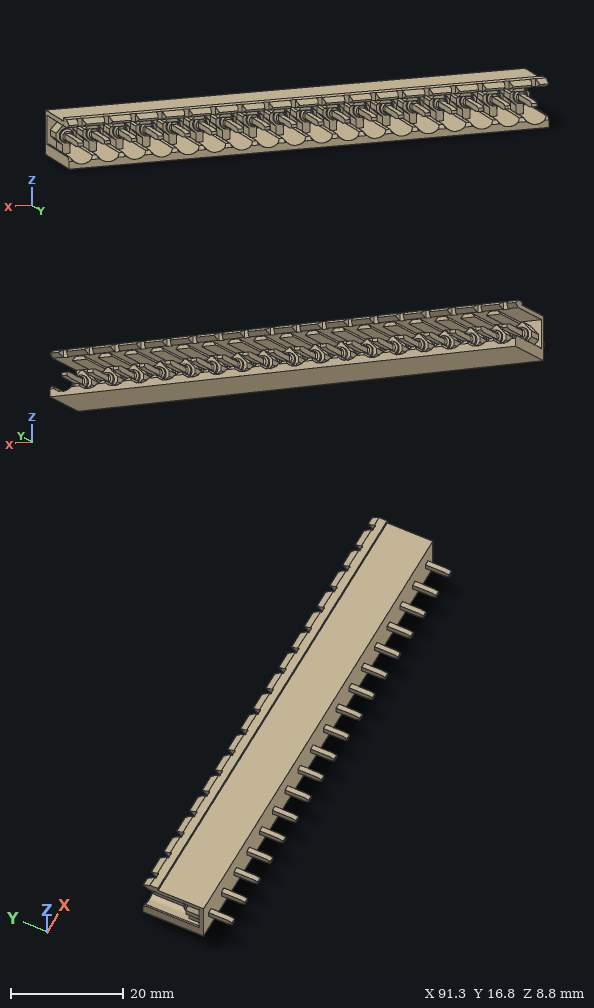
import cadquery as cq

PIN_COUNT = 18
PITCH = 5.08
LENGTH = 91.33
DEPTH = 12.1
HEIGHT = 8.8
FIRST_PIN_X = (LENGTH - (PIN_COUNT - 1) * PITCH) / 2

WALL = 0.9
FLOOR_TOP = 2.1
FLOOR_CHAMFER = 0.65
ROOF_BOTTOM = 7.35
ROOF_TOP = 8.2
LIP_LENGTH = 3.0
LIP_TIP_Z = 8.03
LIP_TOP_BEVEL = 1.4
LIP_BOTTOM_BEVEL = 1.2

PIN_Z = 4.17
PIN_SIZE = 1.05
PIN_TIP_SIZE = 0.6
PIN_FRONT = -4.7
PIN_BACK = 11.35
PIN_FRONT_TAPER = 1.0
PIN_BACK_TAPER = 1.0

BOSS_BACK = 3.85
BOSS_TOP = 6.5
BOSS_BOTTOM = 2.55
BOSS_WIDTH = 3.8
BOSS_TOP_WIDTH = 0.4
WEB_WIDTH = 1.4
COLLAR_RADIUS = 1.3
COLLAR_LENGTH = 0.85
COLLAR_CHAMFER = 0.35

TROUGH_RADIUS = 2.45
TROUGH_Z = 3.25
NOTCH_DEPTH = 1.6
NOTCH_FLARE_DEPTH = 0.9
NOTCH_WIDTH = 1.1
NOTCH_MOUTH_WIDTH = 1.6
RIB_BOTTOM = 6.65
RIB_BACK = 10.4
RIB_BOTTOM_WIDTH = 2.8
RIB_TOP_WIDTH = 1.6


def make_housing():
    """C-shaped channel, open towards +Y, with a bevelled lip on the roof."""
    profile = [
        (0, 0),
        (DEPTH, 0),
        (DEPTH, FLOOR_TOP - FLOOR_CHAMFER),
        (DEPTH - FLOOR_CHAMFER, FLOOR_TOP),
        (WALL, FLOOR_TOP),
        (WALL, ROOF_BOTTOM),
        (DEPTH - LIP_BOTTOM_BEVEL, ROOF_BOTTOM),
        (DEPTH, LIP_TIP_Z),
        (DEPTH - LIP_TOP_BEVEL, HEIGHT),
        (DEPTH - LIP_LENGTH, HEIGHT),
        (DEPTH - LIP_LENGTH, ROOF_TOP),
        (0, ROOF_TOP),
    ]
    return cq.Workplane("YZ").polyline(profile).close().extrude(LENGTH)


def extrude_along_y(points, start, end):
    """Extrude a closed outline of (x, z) points from y = start to y = end."""
    plane = cq.Workplane("XZ", origin=(0, start, 0))
    return plane.polyline(points).close().extrude(start - end)


def make_trough(x):
    """Round trough in the floor, below the pin."""
    plane = cq.Workplane("XZ", origin=(x, WALL, TROUGH_Z))
    cylinder = plane.circle(TROUGH_RADIUS).extrude(WALL - DEPTH)
    floor_zone = cq.Workplane("XY").box(PITCH, DEPTH, FLOOR_TOP, centered=(True, False, False))
    return cylinder.intersect(floor_zone.translate((x, 0, 0)))


def make_notch(x):
    """Flared notch through the lip above the pin."""
    half = NOTCH_WIDTH / 2
    half_mouth = NOTCH_MOUTH_WIDTH / 2
    back = DEPTH - NOTCH_DEPTH
    flare = DEPTH - NOTCH_FLARE_DEPTH
    outline = [
        (x - half, back),
        (x + half, back),
        (x + half, flare),
        (x + half_mouth, DEPTH),
        (x - half_mouth, DEPTH),
        (x - half, flare),
    ]
    plane = cq.Workplane("XY", origin=(0, 0, ROOF_BOTTOM))
    return plane.polyline(outline).close().extrude(HEIGHT - ROOF_BOTTOM)


def make_rib(x):
    """Dovetail rib under the roof, midway between two pins."""
    half_bottom = RIB_BOTTOM_WIDTH / 2
    half_top = RIB_TOP_WIDTH / 2
    outline = [
        (x - half_bottom, RIB_BOTTOM),
        (x + half_bottom, RIB_BOTTOM),
        (x + half_top, ROOF_BOTTOM),
        (x - half_top, ROOF_BOTTOM),
    ]
    return extrude_along_y(outline, WALL, RIB_BACK)


def make_boss(x):
    """Eight-sided boss on the wall, carried by a web that reaches into the floor."""
    half = BOSS_WIDTH / 2
    half_top = BOSS_TOP_WIDTH / 2
    half_web = WEB_WIDTH / 2
    side_low = PIN_Z - PIN_SIZE / 2
    side_high = PIN_Z + PIN_SIZE / 2
    outline = [
        (x - half_web, 0),
        (x + half_web, 0),
        (x + half_web, BOSS_BOTTOM),
        (x + half, side_low),
        (x + half, side_high),
        (x + half_top, BOSS_TOP),
        (x - half_top, BOSS_TOP),
        (x - half, side_high),
        (x - half, side_low),
        (x - half_web, BOSS_BOTTOM),
    ]
    return extrude_along_y(outline, WALL, BOSS_BACK)


def make_collar(x):
    """Round collar with a chamfered end on the boss, around the pin."""
    plane = cq.Workplane("XZ", origin=(x, BOSS_BACK, PIN_Z))
    return plane.circle(COLLAR_RADIUS).extrude(-COLLAR_LENGTH).faces(">Y").chamfer(COLLAR_CHAMFER)


def make_pin(x):
    """Square pin whose ends taper in thickness only."""
    half = PIN_SIZE / 2
    half_tip = PIN_TIP_SIZE / 2
    side = [
        (PIN_FRONT, -half_tip),
        (PIN_FRONT + PIN_FRONT_TAPER, -half),
        (PIN_BACK - PIN_BACK_TAPER, -half),
        (PIN_BACK, -half_tip),
        (PIN_BACK, half_tip),
        (PIN_BACK - PIN_BACK_TAPER, half),
        (PIN_FRONT + PIN_FRONT_TAPER, half),
        (PIN_FRONT, half_tip),
    ]
    plane = cq.Workplane("YZ", origin=(x - half, 0, PIN_Z))
    return plane.polyline(side).close().extrude(PIN_SIZE)


def repeat(make_feature, positions):
    """Collect one copy of a feature at each X position."""
    return cq.Workplane("XY").newObject([make_feature(x).val() for x in positions])


pin_positions = [FIRST_PIN_X + i * PITCH for i in range(PIN_COUNT)]
rib_positions = [x + PITCH / 2 for x in pin_positions[:-1]]

result = (
    make_housing()
    .cut(repeat(make_trough, pin_positions))
    .cut(repeat(make_notch, pin_positions))
    .union(repeat(make_rib, rib_positions))
    .union(repeat(make_boss, pin_positions))
    .union(repeat(make_collar, pin_positions))
    .union(repeat(make_pin, pin_positions))
)